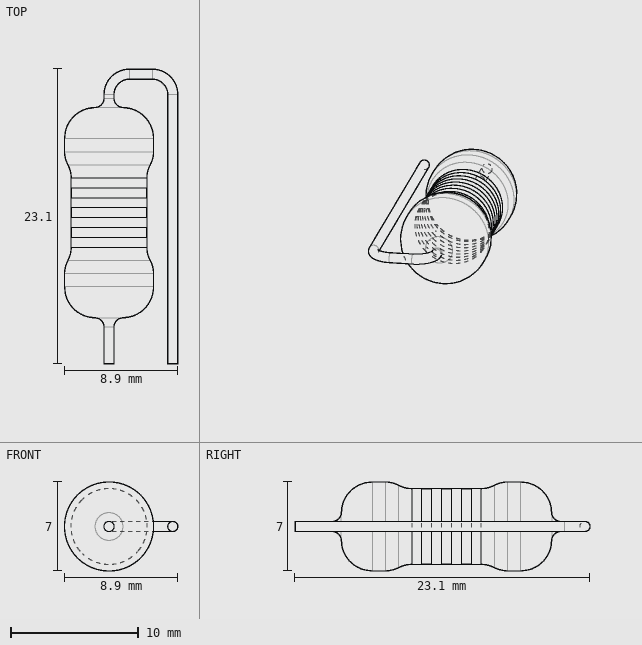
import cadquery as cq
import math


wire_radius = 0.4
lead_pitch = 5.0
bend_radius = 1.6
lead_end_length = 3.6
neck_height = 3.0

body_length = 16.5
shoulder_radius = 3.5
waist_radius = 5.95 / 2
end_round = 2.45
shoulder_length = 3.48
blend_radius = 2.14
meniscus_radius = 0.7

band_radius = 5.97 / 2
band_count = 4

body_bottom = lead_end_length
body_top = body_bottom + body_length
body_middle = (body_bottom + body_top) / 2
bend_top = body_top + neck_height - wire_radius
bend_start = bend_top - bend_radius

blend_drop = (shoulder_radius - waist_radius) / 2
blend_run = math.sqrt(blend_radius**2 - (blend_radius - blend_drop)**2)
blend_half_angle = math.atan2(blend_run, blend_radius - blend_drop) / 2
blend_mid_run = blend_radius * math.sin(blend_half_angle)
blend_mid_drop = blend_radius * (1 - math.cos(blend_half_angle))

waist_length = body_length - 2 * (shoulder_length + 2 * blend_run)
band_width = waist_length / (2 * band_count - 1)


def coated_body():
    """Revolve the symmetric body outline, including both coating fillets."""
    half_length = body_length / 2
    diagonal = math.sqrt(0.5)

    land_start = half_length - end_round
    land_end = half_length - shoulder_length
    blend_middle = land_end - blend_run
    waist_end = blend_middle - blend_run

    round_centre = shoulder_radius - end_round
    meniscus_centre = wire_radius + meniscus_radius
    centre_distance = end_round + meniscus_radius
    tilt = math.asin((meniscus_centre - round_centre) / centre_distance)
    meniscus_top = land_start + centre_distance * math.cos(tilt)
    contact = (
        round_centre + end_round * math.sin(tilt),
        land_start + end_round * math.cos(tilt),
    )
    meniscus_mid_angle = math.pi / 4 + tilt / 2

    profile = (
        cq.Workplane("XY", origin=(0, body_middle, 0))
        .moveTo(waist_radius, 0)
        .lineTo(waist_radius, waist_end)
        .threePointArc(
            (waist_radius + blend_mid_drop, waist_end + blend_mid_run),
            (waist_radius + blend_drop, blend_middle),
        )
        .threePointArc(
            (shoulder_radius - blend_mid_drop, land_end - blend_mid_run),
            (shoulder_radius, land_end),
        )
        .lineTo(shoulder_radius, land_start)
        .threePointArc(
            (round_centre + end_round * diagonal, land_start + end_round * diagonal),
            contact,
        )
        .threePointArc(
            (meniscus_centre - meniscus_radius * math.cos(meniscus_mid_angle),
             meniscus_top - meniscus_radius * math.sin(meniscus_mid_angle)),
            (wire_radius, meniscus_top),
        )
        .lineTo(0, meniscus_top)
        .mirrorX()
    )
    return profile.revolve(360, (0, 0, 0), (0, 1, 0)).clean()


def y_cylinder(radius, start, end):
    """Cylinder on the body axis between two Y positions."""
    return (
        cq.Workplane("XZ", origin=(0, start, 0))
        .circle(radius)
        .extrude(start - end)
    )


def bent_lead():
    """Wire leaving the top of the body and returning alongside it."""
    bend_mid = bend_radius * math.sqrt(0.5)
    path = (
        cq.Workplane("XY")
        .moveTo(0, body_top)
        .lineTo(0, bend_start)
        .threePointArc(
            (bend_radius - bend_mid, bend_start + bend_mid),
            (bend_radius, bend_top),
        )
        .lineTo(lead_pitch - bend_radius, bend_top)
        .threePointArc(
            (lead_pitch - bend_radius + bend_mid, bend_start + bend_mid),
            (lead_pitch, bend_start),
        )
        .lineTo(lead_pitch, 0)
    )
    section = cq.Workplane("XZ", origin=(0, body_top, 0)).circle(wire_radius)
    return section.sweep(path)


def build_resistor():
    """Join the coated body, its colour bands and both leads."""
    part = coated_body()
    for index in range(band_count):
        start = body_middle - waist_length / 2 + 2 * index * band_width
        part = part.union(y_cylinder(band_radius, start, start + band_width))
    part = part.union(y_cylinder(wire_radius, 0, body_bottom))
    return part.union(bent_lead())


result = build_resistor()